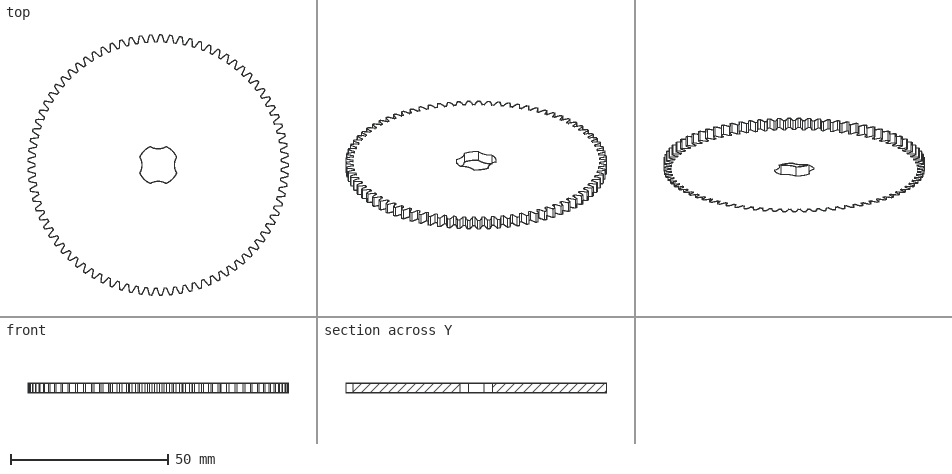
import cadquery as cq
import math

module = 1.0
tooth_count = 81
pressure_angle = math.radians(20)
thickness = 3.12
dedendum_factor = 1.25

pitch_radius = module * tooth_count / 2
tip_radius = pitch_radius + module
root_radius = pitch_radius - dedendum_factor * module
base_radius = pitch_radius * math.cos(pressure_angle)
tooth_pitch_angle = 2 * math.pi / tooth_count

bore_radius = 6.35
lobe_count = 4
lobe_reach_radius = 5.12
lobe_radius = 4.8


def polar(radius, angle):
    return (radius * math.cos(angle), radius * math.sin(angle))


def involute(angle):
    return math.tan(angle) - angle


def tooth_half_angle(radius):
    """Half the angle a tooth spans at the given radius, between its involute flanks."""
    half_angle_at_pitch = tooth_pitch_angle / 4
    local_pressure_angle = math.acos(base_radius / radius)
    return half_angle_at_pitch + involute(pressure_angle) - involute(local_pressure_angle)


def toothed_disc():
    root_half = tooth_half_angle(root_radius)
    pitch_half = tooth_half_angle(pitch_radius)
    tip_half = tooth_half_angle(tip_radius)
    outline = cq.Workplane("XY").moveTo(*polar(root_radius, -root_half))
    for tooth in range(tooth_count):
        centre = tooth * tooth_pitch_angle
        next_centre = centre + tooth_pitch_angle
        gap_centre = centre + tooth_pitch_angle / 2
        outline = outline.threePointArc(
            polar(pitch_radius, centre - pitch_half), polar(tip_radius, centre - tip_half)
        )
        outline = outline.threePointArc(polar(tip_radius, centre), polar(tip_radius, centre + tip_half))
        outline = outline.threePointArc(
            polar(pitch_radius, centre + pitch_half), polar(root_radius, centre + root_half)
        )
        outline = outline.threePointArc(
            polar(root_radius, gap_centre), polar(root_radius, next_centre - root_half)
        )
    return outline.close().extrude(thickness)


def lobed_bore():
    bore = cq.Workplane("XY").circle(bore_radius).extrude(thickness)
    lobes = (
        cq.Workplane("XY")
        .polarArray(lobe_reach_radius + lobe_radius, 0, 360, lobe_count)
        .circle(lobe_radius)
        .extrude(thickness)
    )
    return bore.cut(lobes)


result = toothed_disc().cut(lobed_bore())